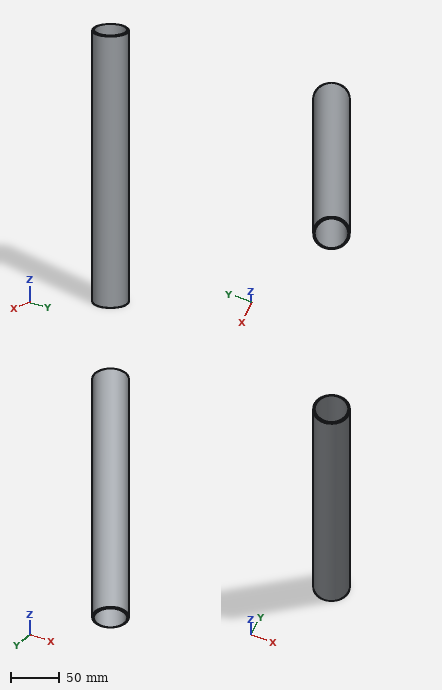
import cadquery as cq

length = 300.0
outer_diameter = 38.5
wall_thickness = 2.0
edge_chamfer = 1.0

inner_diameter = outer_diameter - 2 * wall_thickness

bar = (
    cq.Workplane("XY")
    .circle(outer_diameter / 2)
    .extrude(length)
    .faces("<Z or >Z")
    .chamfer(edge_chamfer)
)

result = bar.faces(">Z").workplane().hole(inner_diameter)